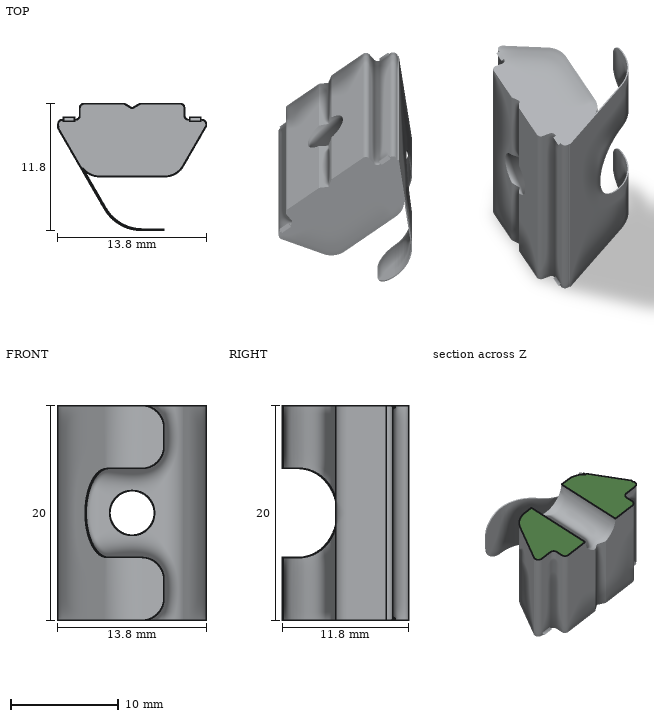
import cadquery as cq
import math

length = 20.0

half_width = 6.9
neck_half_width = 4.88
shoulder_y = -1.5
corner_y = -2.08
bottom_y = -6.8
flank_angle = math.radians(60)
neck_fillet = 0.42
neck_root_fillet = 0.38
shoulder_fillet = 0.42
bottom_fillet = 2.0
groove_half_width = 0.75
groove_depth = 0.45
hole_diameter = 4.15

spring_thickness = 0.12
bend_radius = 4.0
bend_end_x = 0.9
spring_tip_x = 2.95
spring_y = -11.8
spring_top_y = -2.22
tip_radius = 2.05
notch_radius = 4.15
notch_top_y = -6.65

stake_width = 1.05
stake_x = 5.88
stake_start_y = -1.65
nub_tip_y = -1.25
nub_tip_drop = 0.15
nub_base_drop = 0.32

cos_flank = math.cos(flank_angle)
sin_flank = math.sin(flank_angle)


def make_nut():
    bottom_half_width = half_width - (corner_y - bottom_y) / math.tan(flank_angle)
    right_side = [
        (groove_half_width, 0),
        (neck_half_width, 0),
        (neck_half_width, shoulder_y),
        (half_width, shoulder_y),
        (half_width, corner_y),
        (bottom_half_width, bottom_y),
    ]
    left_side = [(-x, y) for x, y in reversed(right_side)]
    outline = [(0, -groove_depth)] + right_side + left_side
    nut = (
        cq.Workplane("XY")
        .polyline(outline)
        .close()
        .extrude(length / 2, both=True)
    )
    for x, y, radius in (
        (neck_half_width, 0, neck_fillet),
        (neck_half_width, shoulder_y, neck_root_fillet),
        (half_width, shoulder_y, shoulder_fillet),
        (bottom_half_width, bottom_y, bottom_fillet),
    ):
        for side in (-1, 1):
            corner = cq.selectors.NearestToPointSelector((side * x, y, 0))
            nut = nut.edges("|Z").edges(corner).fillet(radius)
    hole = (
        cq.Workplane("XZ")
        .circle(hole_diameter / 2)
        .extrude(-bottom_y)
    )
    return nut.cut(hole)


def make_spring():
    bend_y = spring_y + bend_radius

    def bend_point(radius, angle):
        """Point on the bend, with the angle measured from straight down."""
        return (bend_end_x - radius * math.sin(angle), bend_y - radius * math.cos(angle))

    def flank_point(y):
        """Point at height y on the outer face of the sloping leg."""
        start_x, start_y = bend_point(bend_radius, flank_angle)
        return (start_x - (y - start_y) / math.tan(flank_angle), y)

    inner_radius = bend_radius - spring_thickness
    outer_top = flank_point(spring_top_y)
    inner_top = (
        outer_top[0] + spring_thickness * sin_flank,
        outer_top[1] + spring_thickness * cos_flank,
    )
    spring = (
        cq.Workplane("XY")
        .moveTo(*outer_top)
        .lineTo(*bend_point(bend_radius, flank_angle))
        .threePointArc(bend_point(bend_radius, flank_angle / 2), (bend_end_x, spring_y))
        .lineTo(spring_tip_x, spring_y)
        .lineTo(spring_tip_x, spring_y + spring_thickness)
        .lineTo(bend_end_x, spring_y + spring_thickness)
        .threePointArc(
            bend_point(inner_radius, flank_angle / 2),
            bend_point(inner_radius, flank_angle),
        )
        .lineTo(*inner_top)
        .close()
        .extrude(length / 2, both=True)
    )

    notch_top = flank_point(notch_top_y)
    notch_x = notch_top[0] + notch_radius * cos_flank
    notch_y = notch_top[1] - notch_radius * sin_flank
    round_end = (
        cq.Workplane(cq.Plane((notch_x, notch_y, 0), (0, 0, 1), (sin_flank, cos_flank, 0)))
        .circle(notch_radius)
        .extrude(bend_radius / 2, both=True)
    )
    slot_length = spring_tip_x - notch_x
    slot = cq.Workplane("XY").box(
        slot_length, bend_radius, 2 * notch_radius, centered=(False, True, True)
    ).translate((notch_x, spring_y, 0))
    spring = spring.cut(round_end).cut(slot)
    return spring.edges("|Y").edges(">X").fillet(tip_radius)


def stake_prism(side, end, points):
    """Prism across one dent; points are (Y, depth below the end face)."""
    outline = [(y, end * (length / 2 - depth)) for y, depth in points]
    return (
        cq.Workplane("YZ", origin=(side * stake_x, 0, 0))
        .polyline(outline)
        .close()
        .extrude(stake_width / 2, both=True)
    )


def add_stake(part, side, end):
    start = (stake_start_y, 0)
    tip = (nub_tip_y, nub_tip_drop)
    base = (shoulder_y, nub_base_drop)
    inner_base = (stake_start_y, nub_base_drop)
    dent = stake_prism(side, end, [start, tip, (nub_tip_y, 0)])
    nub = stake_prism(side, end, [start, tip, base, inner_base])
    return part.cut(dent).union(nub)


result = make_nut().union(make_spring())
for side in (-1, 1):
    for end in (-1, 1):
        result = add_stake(result, side, end)